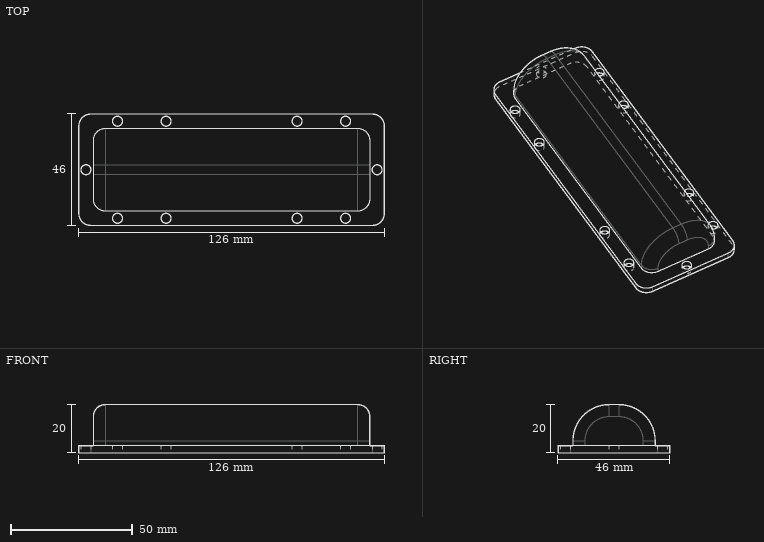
import cadquery as cq

flange_length = 126.0
flange_width = 46.0
flange_thickness = 3.0
flange_corner_radius = 5.0

total_height = 20.0
flange_side_rim = 6.0
flange_end_rim = 6.0
dome_length = flange_length - 2 * flange_end_rim
dome_width = flange_width - 2 * flange_side_rim
dome_height = total_height - flange_thickness
dome_shoulder_radius = 15.0
dome_end_radius = 5.0

hole_diameter = 4.0
side_hole_offset = 20.0
inner_hole_offset = 27.0
outer_hole_offset = 47.0
end_hole_offset = 60.0


def make_flange():
    """Flat plate with rounded corners, resting on Z = 0."""
    plate = cq.Workplane("XY").rect(flange_length, flange_width).extrude(flange_thickness)
    return plate.edges("|Z").fillet(flange_corner_radius)


def make_dome():
    """Long housing with rounded shoulders and rounded rims at both ends."""
    block = (
        cq.Workplane("XY")
        .workplane(offset=flange_thickness)
        .rect(dome_length, dome_width)
        .extrude(dome_height)
    )
    rounded = block.edges("|X and >Z").fillet(dome_shoulder_radius)
    end_rims = rounded.faces("<X or >X").edges("not <Z")
    return end_rims.fillet(dome_end_radius)


def mounting_hole_positions():
    """Four holes along each long side and one at the middle of each end."""
    positions = []
    for side in (-1, 1):
        positions.append((side * end_hole_offset, 0))
        for offset in (inner_hole_offset, outer_hole_offset):
            positions.append((-offset, side * side_hole_offset))
            positions.append((offset, side * side_hole_offset))
    return positions


def make_hole_cutters():
    """Cylinders that pass through the flange."""
    return (
        cq.Workplane("XY")
        .pushPoints(mounting_hole_positions())
        .circle(hole_diameter / 2)
        .extrude(flange_thickness)
    )


result = make_flange().union(make_dome()).cut(make_hole_cutters())